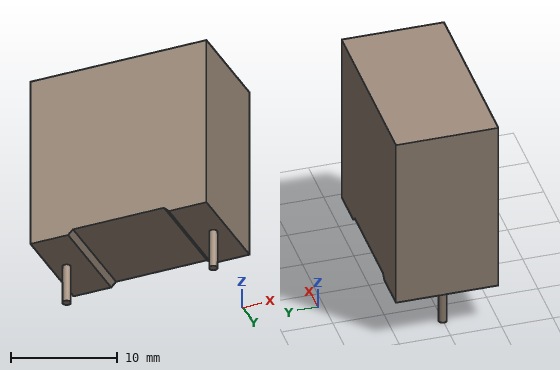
import cadquery as cq

body_width = 18.0
body_depth = 10.0
body_height = 18.0
pin_diameter = 0.8
pin_pitch = 15.0
pin_length = 4.0

relief_height = 0.5
relief_top_width = 9.3
relief_bottom_width = relief_top_width + 2 * relief_height


def make_body():
    """Capacitor case standing on Z = 0, centred in X and Y."""
    return cq.Workplane("XY").box(
        body_width, body_depth, body_height, centered=(True, True, False)
    )


def make_relief():
    """Trapezoidal channel with sloping ends that runs through the full depth."""
    half_top = relief_top_width / 2
    half_bottom = relief_bottom_width / 2
    return (
        cq.Workplane("XZ")
        .moveTo(-half_bottom, 0)
        .lineTo(-half_top, relief_height)
        .lineTo(half_top, relief_height)
        .lineTo(half_bottom, 0)
        .close()
        .extrude(body_depth / 2, both=True)
    )


def make_pins():
    """Two round leads hanging from the feet."""
    half_pitch = pin_pitch / 2
    return (
        cq.Workplane("XY")
        .pushPoints([(-half_pitch, 0), (half_pitch, 0)])
        .circle(pin_diameter / 2)
        .extrude(-pin_length)
    )


result = make_body().cut(make_relief()).union(make_pins())